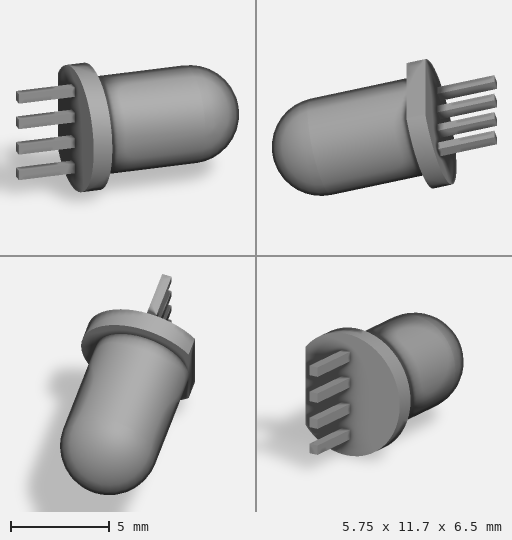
import cadquery as cq
import math

total_length = 11.7
body_diameter = 5.0
flange_diameter = 6.5
flange_thickness = 1.0
lead_length = 3.0
lead_width = 0.5
lead_pitch = 1.39
lead_count = 4

body_radius = body_diameter / 2
flange_radius = flange_diameter / 2
tip_y = total_length - lead_length
dome_start_y = tip_y - body_radius


def make_body():
    """Cylinder with a hemispherical dome, revolved about the Y axis."""
    dome_mid_offset = body_radius * math.sqrt(0.5)
    return (
        cq.Workplane("XY")
        .lineTo(body_radius, 0)
        .lineTo(body_radius, dome_start_y)
        .threePointArc((dome_mid_offset, dome_start_y + dome_mid_offset), (0, tip_y))
        .close()
        .revolve(360, (0, 0, 0), (0, 1, 0))
    )


def make_flange():
    """Round flange cut flat on the -X side, tangent to the body."""
    disc = cq.Workplane("XZ").circle(flange_radius).extrude(-flange_thickness)
    kept_side = cq.Workplane("XY").box(
        body_radius + flange_radius,
        flange_thickness,
        flange_diameter,
        centered=(False, False, True),
    ).translate((-body_radius, 0, 0))
    return disc.intersect(kept_side)


def make_leads():
    """Row of square leads along Z, pointing toward -Y."""
    return (
        cq.Workplane("XZ")
        .rarray(0.12, lead_pitch, 1, lead_count)
        .rect(lead_width, lead_width)
        .extrude(lead_length)
    )


result = make_body().union(make_flange()).union(make_leads())